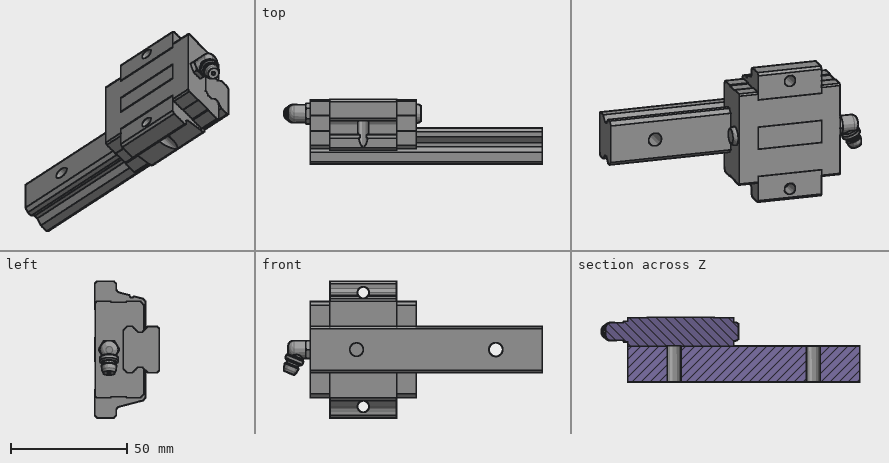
import cadquery as cq
import math


RAIL_LENGTH = 100.0
RAIL_HEIGHT = 15.6
RAIL_WIDTH = 20.0
RAIL_HALF_WIDTH = RAIL_WIDTH / 2
RAIL_BASE_CHAMFER = 1.0
RAIL_TOP_CHAMFER = 1.7
RACEWAY_DEPTH = 2.5
RACEWAY_FLOOR_LOW = 7.5
RACEWAY_FLOOR_HIGH = 9.3
RAIL_HOLE_DIAMETER = 5.8
RAIL_HOLE_START = 20.0
RAIL_HOLE_PITCH = 60.0
RAIL_HOLE_COUNT = 2

CARRIAGE_TOP = 28.0
CARRIAGE_LENGTH = 45.7
CAP_LENGTH = 8.5
BLOCK_LENGTH = CARRIAGE_LENGTH - 2 * CAP_LENGTH
BLOCK_BOTTOM = 6.0
BLOCK_WIDTH = 59.0
BLOCK_HALF_WIDTH = BLOCK_WIDTH / 2
FLANGE_UNDERSIDE = 18.6
FLANGE_CHAMFER = 1.1
SKIRT_HALF_WIDTH = 20.7
SKIRT_CHAMFER_WIDTH = 1.2
SKIRT_CHAMFER_HEIGHT = 1.0
SKIRT_SLOPE = math.radians(14.5)
FLANGE_FILLET = 1.8
RELIEF_DEPTH = 0.2
RELIEF_INNER = 5.0
RELIEF_OUTER = 17.4
MARK_GROOVE_RADIUS = 0.84
MARK_GROOVE_Y = 11.9
MOUNT_HOLE_DIAMETER = 4.9
MOUNT_HOLE_OFFSET = 24.5

CAP_BOTTOM = 6.7
CAP_TOP = CARRIAGE_TOP - RELIEF_DEPTH
CAP_HALF_WIDTH = 20.7
CAP_TOP_CHAMFER = 0.8
CAP_BOTTOM_CHAMFER_WIDTH = 1.7
CAP_BOTTOM_CHAMFER_HEIGHT = 1.5
CAP_GROOVE_DEPTH = 0.3
CAP_GROOVE_LOW = 14.0
CAP_GROOVE_HIGH = 21.1

PORT_Y = 21.7
HEX_ACROSS_FLATS = 7.8
HEX_LENGTH = 2.0
HEX_CHAMFER = 0.3
ELBOW_DIAMETER = 7.8
ELBOW_LENGTH = 9.6
ELBOW_NOSE_RADIUS = 2.5
SPOUT_OFFSET = 5.0
SPOUT_TILT = 22.5
COLLAR_DIAMETER = 8.0
COLLAR_EDGE_DIAMETER = 6.6
NECK_DIAMETER = 5.5
HEAD_DIAMETER = 6.6
TAPER_DIAMETER = 6.0
TIP_DIAMETER = 4.9
COLLAR_START = 3.2
COLLAR_END = 6.1
COLLAR_CHAMFER = (COLLAR_DIAMETER - COLLAR_EDGE_DIAMETER) / 2
HEAD_START = 7.1
HEAD_WIDEST = 7.7
HEAD_TAPER = 9.6
SPOUT_LENGTH = 10.9
TIP_BORE_DIAMETER = 1.5
TIP_BORE_DEPTH = 0.6
PLUG_DIAMETER = 8.2
PLUG_LENGTH = 2.0
PLUG_FACE_DIAMETER = 6.6


def extrude_along_x(points, start, length):
    """Extrude a closed (Y, Z) outline along X."""
    return cq.Workplane("YZ", origin=(start, 0, 0)).polyline(points).close().extrude(length)


def mirrored_outline(upper_half):
    """Close a half outline, listed from base to top at positive Z, with its mirror image."""
    return upper_half + [(y, -z) for y, z in reversed(upper_half)]


def rail_prism(length):
    """Rail section without its holes; it also cuts the matching channel in the carriage."""
    neck = RAIL_HALF_WIDTH - RACEWAY_DEPTH
    upper_half = [
        (0, RAIL_HALF_WIDTH - RAIL_BASE_CHAMFER),
        (RAIL_BASE_CHAMFER, RAIL_HALF_WIDTH),
        (RACEWAY_FLOOR_LOW - RACEWAY_DEPTH, RAIL_HALF_WIDTH),
        (RACEWAY_FLOOR_LOW, neck),
        (RACEWAY_FLOOR_HIGH, neck),
        (RACEWAY_FLOOR_HIGH + RACEWAY_DEPTH, RAIL_HALF_WIDTH),
        (RAIL_HEIGHT - RAIL_TOP_CHAMFER, RAIL_HALF_WIDTH),
        (RAIL_HEIGHT, RAIL_HALF_WIDTH - RAIL_TOP_CHAMFER),
    ]
    return extrude_along_x(mirrored_outline(upper_half), 0, length)


def hole_along_y(x, z, diameter):
    """Cutter that passes through the full height of the assembly."""
    return cq.Workplane("XZ", origin=(x, 0, z)).circle(diameter / 2).extrude(-CARRIAGE_TOP)


def make_rail():
    rail = rail_prism(RAIL_LENGTH)
    for index in range(RAIL_HOLE_COUNT):
        x = RAIL_HOLE_START + index * RAIL_HOLE_PITCH
        rail = rail.cut(hole_along_y(x, 0, RAIL_HOLE_DIAMETER))
    return rail


def skirt_z(y):
    """Half width of the sloping skirt below the flange."""
    start_y = BLOCK_BOTTOM + SKIRT_CHAMFER_HEIGHT
    start_z = SKIRT_HALF_WIDTH + SKIRT_CHAMFER_WIDTH
    return start_z + (y - start_y) * math.tan(SKIRT_SLOPE)


def make_block():
    upper_half = [
        (BLOCK_BOTTOM, SKIRT_HALF_WIDTH),
        (BLOCK_BOTTOM + SKIRT_CHAMFER_HEIGHT, SKIRT_HALF_WIDTH + SKIRT_CHAMFER_WIDTH),
        (FLANGE_UNDERSIDE, skirt_z(FLANGE_UNDERSIDE)),
        (FLANGE_UNDERSIDE, BLOCK_HALF_WIDTH - FLANGE_CHAMFER),
        (FLANGE_UNDERSIDE + FLANGE_CHAMFER, BLOCK_HALF_WIDTH),
        (CARRIAGE_TOP - FLANGE_CHAMFER, BLOCK_HALF_WIDTH),
        (CARRIAGE_TOP, BLOCK_HALF_WIDTH - FLANGE_CHAMFER),
        (CARRIAGE_TOP, RELIEF_OUTER),
        (CARRIAGE_TOP - RELIEF_DEPTH, RELIEF_OUTER),
        (CARRIAGE_TOP - RELIEF_DEPTH, RELIEF_INNER),
        (CARRIAGE_TOP, RELIEF_INNER),
    ]
    block = extrude_along_x(mirrored_outline(upper_half), CAP_LENGTH, BLOCK_LENGTH)

    for side in (-1, 1):
        corner = (CARRIAGE_LENGTH / 2, FLANGE_UNDERSIDE, side * skirt_z(FLANGE_UNDERSIDE))
        block = block.edges(cq.selectors.NearestToPointSelector(corner)).fillet(FLANGE_FILLET)

    groove_origin = (CAP_LENGTH, MARK_GROOVE_Y, skirt_z(MARK_GROOVE_Y))
    groove = cq.Workplane("YZ", origin=groove_origin).circle(MARK_GROOVE_RADIUS).extrude(BLOCK_LENGTH)
    block = block.cut(groove)

    for side in (-1, 1):
        block = block.cut(hole_along_y(CARRIAGE_LENGTH / 2, side * MOUNT_HOLE_OFFSET, MOUNT_HOLE_DIAMETER))
    return block


def make_end_cap(start):
    groove_floor = CAP_HALF_WIDTH - CAP_GROOVE_DEPTH
    upper_half = [
        (CAP_BOTTOM, CAP_HALF_WIDTH - CAP_BOTTOM_CHAMFER_WIDTH),
        (CAP_BOTTOM + CAP_BOTTOM_CHAMFER_HEIGHT, CAP_HALF_WIDTH),
        (CAP_GROOVE_LOW, CAP_HALF_WIDTH),
        (CAP_GROOVE_LOW + CAP_GROOVE_DEPTH, groove_floor),
        (CAP_GROOVE_HIGH - CAP_GROOVE_DEPTH, groove_floor),
        (CAP_GROOVE_HIGH, CAP_HALF_WIDTH),
        (CAP_TOP - CAP_TOP_CHAMFER, CAP_HALF_WIDTH),
        (CAP_TOP, CAP_HALF_WIDTH - CAP_TOP_CHAMFER),
    ]
    return extrude_along_x(mirrored_outline(upper_half), start, CAP_LENGTH)


def make_elbow():
    """Hexagon and round-nosed elbow, pointing along -X from the end cap."""
    corner_diameter = HEX_ACROSS_FLATS / math.cos(math.pi / 6)
    port = cq.Workplane("YZ", origin=(0, PORT_Y, 0))
    hexagon = port.polygon(6, corner_diameter).extrude(-HEX_LENGTH)
    blank = port.circle(corner_diameter / 2).extrude(-HEX_LENGTH)
    blank = blank.faces("<X").chamfer(HEX_CHAMFER, (corner_diameter - HEX_ACROSS_FLATS) / 2)
    hexagon = hexagon.intersect(blank)
    elbow = port.circle(ELBOW_DIAMETER / 2).extrude(-ELBOW_LENGTH)
    elbow = elbow.faces("<X").edges().fillet(ELBOW_NOSE_RADIUS)
    return hexagon.union(elbow)


def make_spout():
    """Turned spout that leaves the elbow downwards, tilted away from the end cap."""
    profile = [
        (0, 0),
        (COLLAR_EDGE_DIAMETER / 2, 0),
        (COLLAR_EDGE_DIAMETER / 2, -COLLAR_START),
        (COLLAR_DIAMETER / 2, -COLLAR_START - COLLAR_CHAMFER),
        (COLLAR_DIAMETER / 2, COLLAR_CHAMFER - COLLAR_END),
        (COLLAR_EDGE_DIAMETER / 2, -COLLAR_END),
        (NECK_DIAMETER / 2, -COLLAR_END),
        (NECK_DIAMETER / 2, -HEAD_START),
        (HEAD_DIAMETER / 2, -HEAD_WIDEST),
        (TAPER_DIAMETER / 2, -HEAD_TAPER),
        (TIP_DIAMETER / 2, -SPOUT_LENGTH),
        (TIP_BORE_DIAMETER / 2, -SPOUT_LENGTH),
        (TIP_BORE_DIAMETER / 2, TIP_BORE_DEPTH - SPOUT_LENGTH),
        (0, TIP_BORE_DEPTH - SPOUT_LENGTH),
    ]
    spout = cq.Workplane("XZ").polyline(profile).close().revolve(360, (0, 0), (0, 1))
    spout = spout.rotate((0, 0, 0), (0, 1, 0), SPOUT_TILT)
    return spout.translate((-SPOUT_OFFSET, PORT_Y, 0))


def make_plug():
    """Domed plug that closes the port at the far end cap."""
    base_radius = PLUG_DIAMETER / 2
    face_radius = PLUG_FACE_DIAMETER / 2
    drop = base_radius - face_radius
    dome_radius = (drop**2 + PLUG_LENGTH**2) / (2 * drop)
    half_angle = math.asin(PLUG_LENGTH / dome_radius) / 2
    dome_middle = (
        dome_radius * math.sin(half_angle),
        base_radius - dome_radius * (1 - math.cos(half_angle)),
    )
    profile = (
        cq.Workplane("XY")
        .lineTo(0, base_radius)
        .threePointArc(dome_middle, (PLUG_LENGTH, face_radius))
        .lineTo(PLUG_LENGTH, 0)
        .close()
    )
    plug = profile.revolve(360, (0, 0), (1, 0))
    return plug.translate((CARRIAGE_LENGTH, PORT_Y, 0))


def make_carriage():
    carriage = make_block()
    for start in (0, CARRIAGE_LENGTH - CAP_LENGTH):
        carriage = carriage.union(make_end_cap(start))
    carriage = carriage.cut(rail_prism(CARRIAGE_LENGTH))
    return carriage.union(make_elbow()).union(make_spout()).union(make_plug())


rail = make_rail()
carriage = make_carriage()

result = cq.Compound.makeCompound([rail.solids().val(), carriage.solids().val()])